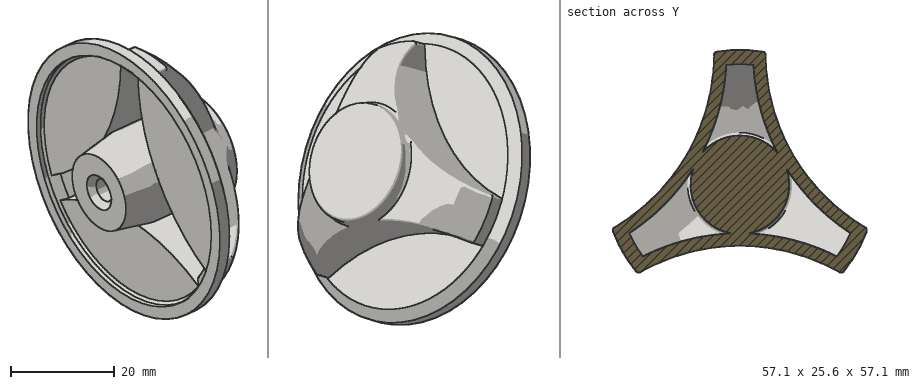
import cadquery as cq
import math

RIM_RADIUS = 28.575
RIM_BEVEL_START = 2.45
RIM_THICKNESS = 3.94
RIM_BACK_RADIUS = 26.2

RECESS_RADIUS = 26.0
RECESS_CONE_START = 1.0
RECESS_DEPTH = 1.4
CONE_SLOPE = (RIM_RADIUS - RIM_BACK_RADIUS) / (RIM_THICKNESS - RIM_BEVEL_START)
RECESS_FLOOR_RADIUS = RECESS_RADIUS - CONE_SLOPE * (RECESS_DEPTH - RECESS_CONE_START)

WALL = 2.45
ARM_END_RADIUS = RIM_BACK_RADIUS
DOME_START = 6.75
DOME_ARC_RADIUS = 25.4
COLLAR_RADIUS = 11.8
COLLAR_TOP = 19.21
COLLAR_EDGE_FILLET = 0.8
COLLAR_ROOT_RADIUS = 12.3
COLLAR_ROOT_START = 16.4
COLLAR_ROOT_END = 17.65
COLLAR_ROOT_SAG = 0.12

ARM_COUNT = 3
FIRST_SCALLOP_ANGLE = -90
SCALLOP_CENTER_DISTANCE = 50.8
SCALLOP_RADIUS = 38.95
HOLLOW_SIDE_RADIUS = 41.45
ARM_EDGE_FILLET = 0.7

HUB_TIP = -6.35
HUB_TIP_RADIUS = 8.0
HUB_KNEE = 2.5
HUB_RADIUS = 9.58
HUB_ROOT_FILLET = 0.55

BORE_RADIUS = 2.35
BORE_MOUTH_RADIUS = 3.65
BORE_COUNTERSINK_DEPTH = 1.3
BORE_DEPTH = 12.7


def revolve_profile(profile):
    """Close a profile drawn as (radius, y) and turn it about the Y axis."""
    return profile.close().revolve(360, (0, 0, 0), (0, 1, 0))


def arc_center(start, end, radius):
    """Center, on the axis side, of the dome arc joining two points."""
    across = end[0] - start[0]
    along = end[1] - start[1]
    chord = math.hypot(across, along)
    offset = math.sqrt(radius**2 - (chord / 2) ** 2)
    center_radius = (start[0] + end[0]) / 2 - offset * along / chord
    center_y = (start[1] + end[1]) / 2 + offset * across / chord
    return (center_radius, center_y)


def arc_point_at(center, arc_radius, distance):
    """Point on the upper half of an arc at a given distance from the axis."""
    return (distance, center[1] + math.sqrt(arc_radius**2 - (distance - center[0]) ** 2))


def make_rim():
    return revolve_profile(
        cq.Workplane("XY")
        .lineTo(RIM_RADIUS, 0)
        .lineTo(RIM_RADIUS, RIM_BEVEL_START)
        .lineTo(RIM_BACK_RADIUS, RIM_THICKNESS)
        .lineTo(0, RIM_THICKNESS)
    )


DOME_EDGE = (ARM_END_RADIUS, DOME_START)
COLLAR_ROOT = (COLLAR_ROOT_RADIUS, COLLAR_ROOT_START)
DOME_CENTER = arc_center(DOME_EDGE, COLLAR_ROOT, DOME_ARC_RADIUS)
INNER_ARC_RADIUS = DOME_ARC_RADIUS - WALL
HOLLOW_END_RADIUS = ARM_END_RADIUS - WALL
HUB_ROOT = arc_point_at(DOME_CENTER, INNER_ARC_RADIUS, HUB_RADIUS + HUB_ROOT_FILLET)


def make_dome():
    middle = arc_point_at(DOME_CENTER, DOME_ARC_RADIUS, (ARM_END_RADIUS + COLLAR_ROOT_RADIUS) / 2)
    return revolve_profile(
        cq.Workplane("XY")
        .moveTo(0, RECESS_DEPTH)
        .lineTo(ARM_END_RADIUS, RECESS_DEPTH)
        .lineTo(*DOME_EDGE)
        .threePointArc(middle, COLLAR_ROOT)
        .lineTo(0, COLLAR_ROOT_START)
    )


def make_collar():
    root_end = (COLLAR_RADIUS, COLLAR_ROOT_END)
    root_middle = (COLLAR_RADIUS + COLLAR_ROOT_SAG, (COLLAR_ROOT_START + COLLAR_ROOT_END) / 2)
    collar = revolve_profile(
        cq.Workplane("XY")
        .moveTo(0, COLLAR_ROOT_START)
        .lineTo(*COLLAR_ROOT)
        .threePointArc(root_middle, root_end)
        .lineTo(COLLAR_RADIUS, COLLAR_TOP)
        .lineTo(0, COLLAR_TOP)
    )
    return collar.faces(">Y").edges().fillet(COLLAR_EDGE_FILLET)


def scallop_cylinders(radius, start, end):
    """Round cutters set evenly about the Y axis, one facing each gap between arms."""
    cutters = None
    for index in range(ARM_COUNT):
        angle = math.radians(FIRST_SCALLOP_ANGLE + index * 360 / ARM_COUNT)
        x = SCALLOP_CENTER_DISTANCE * math.cos(angle)
        z = SCALLOP_CENTER_DISTANCE * math.sin(angle)
        cutter = cq.Workplane("XY").add(
            cq.Solid.makeCylinder(radius, end - start, cq.Vector(x, start, z), cq.Vector(0, 1, 0))
        )
        cutters = cutter if cutters is None else cutters.union(cutter)
    return cutters


def is_arm_side_edge(edge):
    """True for the upright corners at an arm's end and the curves where its sides meet the dome."""
    is_end_corner = edge.geomType() == "LINE" and RIM_THICKNESS < edge.Center().y < DOME_START
    return is_end_corner or edge.geomType() == "BSPLINE"


def make_arms():
    arms = make_dome().union(make_collar())
    arms = arms.cut(scallop_cylinders(SCALLOP_RADIUS, RIM_THICKNESS, COLLAR_ROOT_END))
    side_edges = [edge for edge in arms.edges().vals() if is_arm_side_edge(edge)]
    return arms.newObject(side_edges).fillet(ARM_EDGE_FILLET)


def make_recess():
    return revolve_profile(
        cq.Workplane("XY")
        .lineTo(RECESS_RADIUS, 0)
        .lineTo(RECESS_RADIUS, RECESS_CONE_START)
        .lineTo(RECESS_FLOOR_RADIUS, RECESS_DEPTH)
        .lineTo(0, RECESS_DEPTH)
    )


def make_arm_hollows():
    """Hollows under the arms, leaving an even wall under the dome."""
    outer_edge = arc_point_at(DOME_CENTER, INNER_ARC_RADIUS, HOLLOW_END_RADIUS)
    middle_radius = (HOLLOW_END_RADIUS + HUB_ROOT[0]) / 2
    middle = arc_point_at(DOME_CENTER, INNER_ARC_RADIUS, middle_radius)
    cone_end = RECESS_CONE_START + (RECESS_RADIUS - HOLLOW_END_RADIUS) / CONE_SLOPE
    hollow = revolve_profile(
        cq.Workplane("XY")
        .lineTo(RECESS_RADIUS, 0)
        .lineTo(RECESS_RADIUS, RECESS_CONE_START)
        .lineTo(HOLLOW_END_RADIUS, cone_end)
        .lineTo(*outer_edge)
        .threePointArc(middle, HUB_ROOT)
        .lineTo(0, HUB_ROOT[1])
    )
    return hollow.cut(scallop_cylinders(HOLLOW_SIDE_RADIUS, 0, COLLAR_TOP))


def make_hub():
    return revolve_profile(
        cq.Workplane("XY")
        .moveTo(0, HUB_TIP)
        .lineTo(HUB_TIP_RADIUS, HUB_TIP)
        .lineTo(HUB_RADIUS, HUB_KNEE)
        .lineTo(HUB_RADIUS, HUB_ROOT[1] - HUB_ROOT_FILLET)
        .tangentArcPoint(HUB_ROOT, relative=False)
        .lineTo(0, HUB_ROOT[1])
    )


def make_bore():
    return revolve_profile(
        cq.Workplane("XY")
        .moveTo(0, HUB_TIP)
        .lineTo(BORE_MOUTH_RADIUS, HUB_TIP)
        .lineTo(BORE_RADIUS, HUB_TIP + BORE_COUNTERSINK_DEPTH)
        .lineTo(BORE_RADIUS, HUB_TIP + BORE_DEPTH)
        .lineTo(0, HUB_TIP + BORE_DEPTH)
    )


result = make_rim().union(make_arms())
result = result.cut(make_recess()).cut(make_arm_hollows())
result = result.union(make_hub()).cut(make_bore())